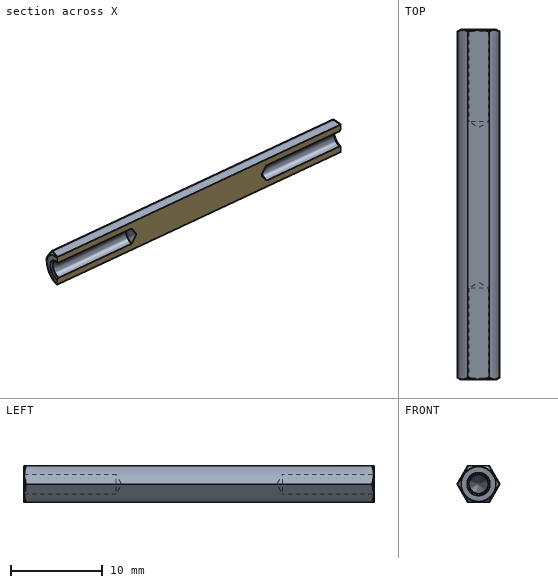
import cadquery as cq
import math

length = 38.1
across_flats = 4.0
across_corners = across_flats / math.cos(math.radians(30))

end_face_diameter = 3.8
corner_chamfer_angle = 30.0

bore_diameter = 2.1
bore_depth = 10.0
drill_point_angle = 118.0
countersink_diameter = 2.5
countersink_angle = 90.0


def hex_bar():
    """Hexagonal bar with flats on top and bottom and corners on +X and -X."""
    return cq.Workplane("XZ").polygon(6, across_corners).extrude(length / 2, both=True)


def corner_envelope():
    """Round bar with coned ends; intersecting it with the hexagon chamfers the corners."""
    face_radius = end_face_diameter / 2
    envelope_radius = across_corners
    cone_length = (envelope_radius - face_radius) * math.tan(math.radians(corner_chamfer_angle))
    half_length = length / 2
    profile = [
        (0, -half_length),
        (face_radius, -half_length),
        (envelope_radius, -half_length + cone_length),
        (envelope_radius, half_length - cone_length),
        (face_radius, half_length),
        (0, half_length),
    ]
    return cq.Workplane("XY").polyline(profile).close().revolve(360, (0, 0), (0, 1))


def end_hole():
    """Countersunk blind hole with a drill point, entering from the -Y end."""
    end_y = -length / 2
    bore_radius = bore_diameter / 2
    countersink_radius = countersink_diameter / 2
    countersink_depth = (countersink_radius - bore_radius) / math.tan(math.radians(countersink_angle / 2))
    point_depth = bore_radius / math.tan(math.radians(drill_point_angle / 2))
    profile = [
        (0, end_y),
        (countersink_radius, end_y),
        (bore_radius, end_y + countersink_depth),
        (bore_radius, end_y + bore_depth),
        (0, end_y + bore_depth + point_depth),
    ]
    return cq.Workplane("XY").polyline(profile).close().revolve(360, (0, 0), (0, 1))


front_hole = end_hole()
rear_hole = front_hole.mirror("XZ")

result = hex_bar().intersect(corner_envelope()).cut(front_hole).cut(rear_hole)